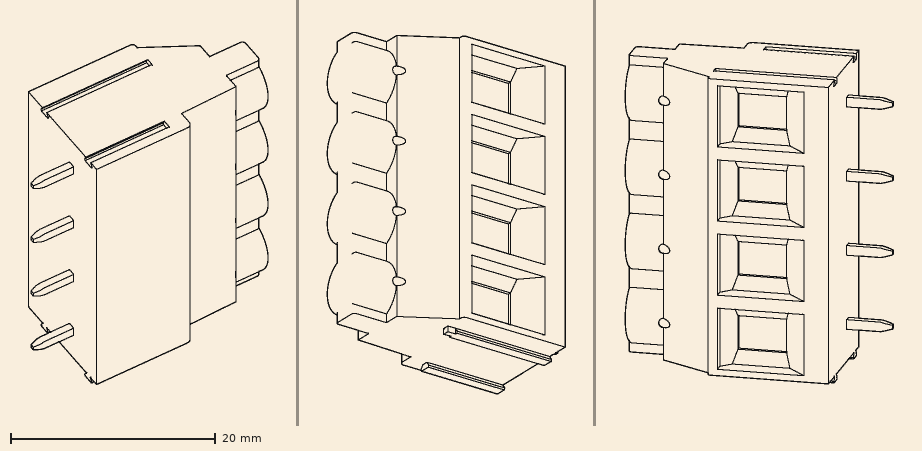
import cadquery as cq


POLE_COUNT = 4
PITCH = 7.62
ROW_LENGTH = POLE_COUNT * PITCH
POLE_CENTERS = [PITCH * (i + 0.5) for i in range(POLE_COUNT)]

BODY_DEPTH = 12.5
ENTRY_HEIGHT = 12.22
ENTRY_FLAT = 0.65
ENTRY_ROUND = 0.37
BACK_HEIGHT = 11.1
BACK_ROUND = 0.55
BACK_WALL_FOOT_X = 10.55
BACK_WALL_TOP_X = 10.32
LEDGE_HEIGHT = 17.57
LEDGE_FRONT_X = 3.73
TOTAL_HEIGHT = 21.5

TOWER_X = 7.0
TOWER_RADIUS = 3.23
RIB_WIDTH = 3.05
TOP_ROUND = 0.37

MARKER_RADIUS = 0.47
MARKER_X = 3.75
MARKER_LENGTH = 1.55

FUNNEL_BOTTOM, FUNNEL_TOP = 2.45, 11.2
WINDOW_BOTTOM, WINDOW_TOP = 4.82, 9.73
FUNNEL_WIDTH = 6.28
WINDOW_WIDTH = 3.45
TOP_TAPER_DEPTH = 1.0
SIDE_TAPER_DEPTH = 2.02
WINDOW_DEPTH = 2.5
FUNNEL_DEPTH = 2.85

PIN_X = 7.93
PIN_LENGTH = 4.57
PIN_THICKNESS = 0.78
PIN_WIDTH = 1.0
PIN_TIP = 0.4
PIN_THICKNESS_TAPER = 3.9
PIN_WIDTH_TAPER = 3.42

FRONT_JOINT_X = 3.0
BACK_JOINT_X = 10.97
FRONT_JOINT_LENGTH = ENTRY_HEIGHT
BACK_JOINT_LENGTH = 9.1
JOINT_HEIGHT = 0.62
JOINT_WIDTH = 1.35
JOINT_FOOT_WIDTH = 1.18
FLARE_HEIGHT = 0.45
RAIL_NECK = 0.7
FRONT_GROOVE_MOUTH = 0.78
BACK_GROOVE_MOUTH = 0.9
RAIL_TIP_LENGTH = 0.9


def prism_along_z(points, z_start, length):
    return cq.Workplane("XY", origin=(0, 0, z_start)).polyline(points).close().extrude(length)


def make_housing():
    outline = [
        (0, 0),
        (0, ENTRY_HEIGHT),
        (ENTRY_FLAT, ENTRY_HEIGHT),
        (LEDGE_FRONT_X, LEDGE_HEIGHT),
        (BACK_WALL_TOP_X, LEDGE_HEIGHT),
        (BACK_WALL_FOOT_X, BACK_HEIGHT),
        (BODY_DEPTH, BACK_HEIGHT),
        (BODY_DEPTH, 0),
    ]
    housing = prism_along_z(outline, 0, ROW_LENGTH)
    entry_edge = cq.selectors.NearestToPointSelector((0, ENTRY_HEIGHT, ROW_LENGTH / 2))
    back_edge = cq.selectors.NearestToPointSelector((BODY_DEPTH, BACK_HEIGHT, ROW_LENGTH / 2))
    housing = housing.edges(entry_edge).fillet(ENTRY_ROUND)
    return housing.edges(back_edge).fillet(BACK_ROUND)


def make_rib():
    height = TOTAL_HEIGHT - LEDGE_HEIGHT
    rib = cq.Workplane("XY").box(RIB_WIDTH, height, ROW_LENGTH, centered=(True, False, False))
    rib = rib.edges("|Z and >Y").fillet(TOP_ROUND)
    return rib.translate((TOWER_X, LEDGE_HEIGHT, 0))


def cylinder_along_y(x, y, z, radius, height):
    axis = cq.Vector(0, 1, 0)
    return cq.Workplane(cq.Solid.makeCylinder(radius, height, cq.Vector(x, y, z), axis))


def make_tower(z):
    height = TOTAL_HEIGHT - LEDGE_HEIGHT
    tower = cylinder_along_y(TOWER_X, LEDGE_HEIGHT, z, TOWER_RADIUS, height)
    return tower.faces(">Y").edges().fillet(TOP_ROUND)


def make_marker(z):
    shank = cylinder_along_y(MARKER_X, LEDGE_HEIGHT - MARKER_LENGTH, z, MARKER_RADIUS, MARKER_LENGTH)
    dome = cq.Workplane("XY", origin=(MARKER_X, LEDGE_HEIGHT, z)).sphere(MARKER_RADIUS)
    return shank.union(dome)


def make_funnel(z):
    """Wire-entry cavity: the overlap of its side profile and its plan profile."""
    side_profile = [
        (0, FUNNEL_BOTTOM),
        (0, FUNNEL_TOP),
        (TOP_TAPER_DEPTH, FUNNEL_TOP),
        (WINDOW_DEPTH, WINDOW_TOP),
        (FUNNEL_DEPTH, WINDOW_TOP),
        (FUNNEL_DEPTH, WINDOW_BOTTOM),
        (WINDOW_DEPTH, WINDOW_BOTTOM),
    ]
    half_plan = [
        (0, FUNNEL_WIDTH / 2),
        (SIDE_TAPER_DEPTH, FUNNEL_WIDTH / 2),
        (WINDOW_DEPTH, WINDOW_WIDTH / 2),
        (FUNNEL_DEPTH, WINDOW_WIDTH / 2),
    ]
    plan_profile = half_plan + [(x, -half) for x, half in reversed(half_plan)]
    side = prism_along_z(side_profile, z - FUNNEL_WIDTH / 2, FUNNEL_WIDTH)
    plan = cq.Workplane("XZ", origin=(0, 0, z)).polyline(plan_profile).close().extrude(-ENTRY_HEIGHT)
    return side.intersect(plan)


def pin_profile(width, taper_start):
    """Half-symmetric pin outline as (offset from the axis, Y) points."""
    half_pin = [
        (width / 2, 0),
        (width / 2, -taper_start),
        (PIN_TIP / 2, -PIN_LENGTH),
    ]
    return half_pin + [(-offset, y) for offset, y in reversed(half_pin)]


def make_pin(z):
    """Pin tapered on all four sides: the overlap of its two outlines."""
    thickness_profile = pin_profile(PIN_THICKNESS, PIN_THICKNESS_TAPER)
    width_profile = pin_profile(PIN_WIDTH, PIN_WIDTH_TAPER)
    thickness_points = [(PIN_X + offset, y) for offset, y in thickness_profile]
    width_points = [(y, z + offset) for offset, y in width_profile]
    across_x = prism_along_z(thickness_points, z - PIN_WIDTH / 2, PIN_WIDTH)
    across_z = cq.Workplane("YZ").polyline(width_points).close().extrude(BODY_DEPTH)
    return across_x.intersect(across_z)


def make_dovetail(x, z_neck, neck_width, length):
    """Dovetail along Y: flares downward from its neck at z_neck, then narrows a little to its foot."""
    half_section = [
        (neck_width / 2, z_neck),
        (JOINT_WIDTH / 2, z_neck - FLARE_HEIGHT),
        (JOINT_FOOT_WIDTH / 2, z_neck - JOINT_HEIGHT),
    ]
    section = half_section + [(-offset, z) for offset, z in reversed(half_section)]
    points = [(x + offset, z) for offset, z in section]
    return cq.Workplane("XZ").polyline(points).close().extrude(-length)


def make_front_rail():
    dovetail_length = FRONT_JOINT_LENGTH - RAIL_TIP_LENGTH
    dovetail = make_dovetail(FRONT_JOINT_X, 0, RAIL_NECK, dovetail_length)
    tip = (
        cq.Workplane("XY")
        .box(RAIL_NECK, RAIL_TIP_LENGTH, JOINT_HEIGHT, centered=(True, False, False))
        .translate((FRONT_JOINT_X, dovetail_length, -JOINT_HEIGHT))
    )
    return dovetail.union(tip)


result = make_housing().union(make_rib())
for pole_z in POLE_CENTERS:
    result = result.union(make_tower(pole_z)).union(make_marker(pole_z))
    result = result.cut(make_funnel(pole_z)).union(make_pin(pole_z))

result = result.cut(make_dovetail(FRONT_JOINT_X, ROW_LENGTH, FRONT_GROOVE_MOUTH, FRONT_JOINT_LENGTH))
result = result.cut(make_dovetail(BACK_JOINT_X, ROW_LENGTH, BACK_GROOVE_MOUTH, BACK_JOINT_LENGTH))
result = result.union(make_front_rail())
result = result.union(make_dovetail(BACK_JOINT_X, 0, RAIL_NECK, BACK_JOINT_LENGTH))